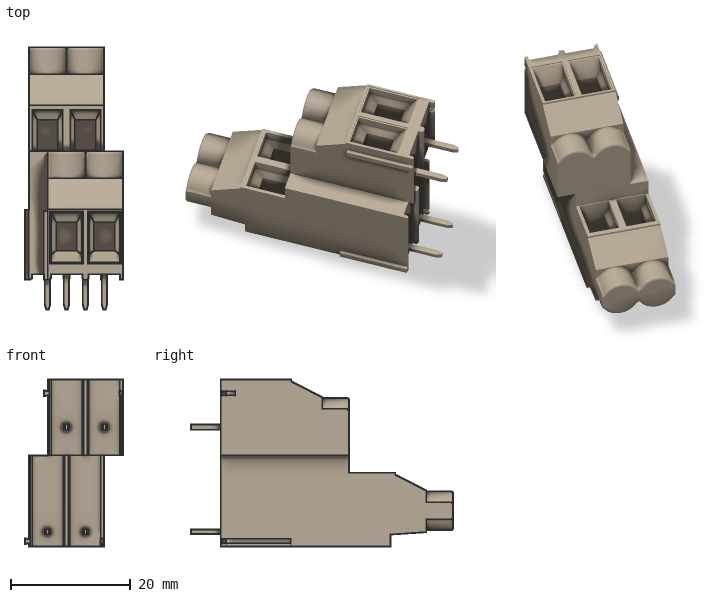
import cadquery as cq


pole_pitch = 6.35
pole_count = 2
housing_width = 12.6
first_pole_x = (housing_width - (pole_count - 1) * pole_pitch) / 2
pole_offsets = [first_pole_x + i * pole_pitch for i in range(pole_count)]

lower_x = 0.0
upper_x = pole_pitch / 2
split_z = 15.25
upper_top_z = 28.0
shoulder_top_z = 12.4

rib_depth = 0.9
front_y = rib_depth
upper_back_y = 21.5
housing_step = 17.4
lower_back_y = upper_back_y + housing_step
tower_length = 4.5
slope_run = 5.17
slope_rise = 2.65
slope_lip = 0.35
foot_back_y = 28.45
foot_height = 2.0
foot_slope_top_z = 2.4

tower_radius = 3.3
tower_rim_fillet = 0.45
tower_below_top = 6.4
valley_half_height = 1.43
valley_flank_width = 0.4
valley_flank_rise = 0.36

funnel_width = 5.16
funnel_rim_width = 5.58
funnel_rim_depth = 0.2
upper_funnel_margin = 0.57
lower_funnel_margin = 0.8
funnel_floor_width = 3.5
funnel_straight_depth = 1.95
funnel_side_drop = 0.95
funnel_back_run = 1.62
funnel_hole_depth = 4.0
upper_funnel_front_y = 2.9
upper_funnel_floor_y = 4.85
lower_funnel_gap = 0.13
lower_funnel_front_y = upper_back_y + lower_funnel_gap

end_rib_width = 0.54
middle_rib_width = 1.06
rib_chamfer = 0.26

overall_width = 16.43
rail_depth = overall_width - housing_width - upper_x
rail_tip_height = 1.04
rail_root_height = 0.72
upper_rail_length = 11.5
lower_rail_length = 11.75
upper_slot_length = 2.4
lower_slot_length = lower_rail_length
upper_rail_z = 25.65
lower_rail_z = 0.92

pin_width = 0.92
pin_tip_width = 0.45
pin_tip_length = 0.85
pin_reach = 5.0
upper_pin_z = 20.0
upper_pin_height = 0.92
lower_pin_z = 2.48
lower_pin_height = 0.82


def block(x_range, y_range, z_range):
    """Box between the given limits."""
    (x0, x1), (y0, y1), (z0, z1) = x_range, y_range, z_range
    return cq.Workplane("XY").box(x1 - x0, y1 - y0, z1 - z0, centered=False).translate((x0, y0, z0))


def side_plate(x_start, outline):
    """Extrude a (y, z) outline over the housing width."""
    return cq.Workplane("YZ", origin=(x_start, 0, 0)).polyline(outline).close().extrude(housing_width)


def slope_outline(back_y, top_z):
    """Points of the sloping rear shoulder, from the towers up to the top face."""
    slope_back_y = back_y - tower_length
    slope_front_y = slope_back_y - slope_run
    slope_top_z = top_z - slope_lip
    return [
        (slope_back_y, slope_top_z - slope_rise),
        (slope_front_y, slope_top_z),
        (slope_front_y, top_z),
    ]


def towers(x_start, back_y, top_z):
    """Row of round screw towers on a web with V grooves between them, rounded at the back rim."""
    axis_z = top_z - tower_below_top
    y_start = back_y - tower_length
    flank_half = first_pole_x - valley_flank_width
    crown = valley_half_height + valley_flank_rise
    row = block(
        (x_start, x_start + housing_width),
        (y_start, back_y),
        (axis_z - valley_half_height, axis_z + valley_half_height),
    )
    for offset in pole_offsets:
        plane = cq.Workplane("XZ", origin=(x_start + offset, back_y, axis_z))
        web = (
            plane.moveTo(-first_pole_x, -valley_half_height)
            .lineTo(-flank_half, -crown)
            .lineTo(flank_half, -crown)
            .lineTo(first_pole_x, -valley_half_height)
            .lineTo(first_pole_x, valley_half_height)
            .lineTo(flank_half, crown)
            .lineTo(-flank_half, crown)
            .lineTo(-first_pole_x, valley_half_height)
            .close()
            .extrude(tower_length)
        )
        barrel = plane.circle(tower_radius).extrude(tower_length)
        cell = block(
            (x_start + offset - first_pole_x, x_start + offset + first_pole_x),
            (y_start, back_y),
            (axis_z - tower_radius, axis_z + tower_radius),
        )
        row = row.union(web).union(barrel.intersect(cell))
    return row.faces(">Y").edges("not |Z").fillet(tower_rim_fillet)


def funnel(x_center, front_y_limit, back_y, top_z):
    """Straight mouth, sloping back and side faces, and the hole below them."""
    slope_top_z = top_z - funnel_straight_depth
    floor_z = slope_top_z - funnel_side_drop
    floor_back_y = back_y - funnel_back_run
    half_mouth = funnel_width / 2
    half_floor = funnel_floor_width / 2
    mouth = block(
        (x_center - half_mouth, x_center + half_mouth), (front_y_limit, back_y), (slope_top_z, top_z)
    )
    hole = block(
        (x_center - half_floor, x_center + half_floor),
        (front_y_limit, floor_back_y),
        (floor_z - funnel_hole_depth, slope_top_z),
    )
    sides = (
        cq.Workplane("XZ", origin=(x_center, back_y, 0))
        .polyline(
            [(-half_floor, floor_z), (half_floor, floor_z), (half_mouth, slope_top_z), (-half_mouth, slope_top_z)]
        )
        .close()
        .extrude(back_y - front_y_limit)
    )
    back = (
        cq.Workplane("YZ", origin=(x_center - half_mouth, 0, 0))
        .polyline(
            [
                (front_y_limit, floor_z),
                (floor_back_y, floor_z),
                (back_y, slope_top_z),
                (front_y_limit, slope_top_z),
            ]
        )
        .close()
        .extrude(funnel_width)
    )
    return mouth.union(hole).union(sides.intersect(back))


def front_ramp(x_center, top_z):
    """Region kept free of the upper funnel so that its front wall becomes a ramp."""
    floor_z = top_z - funnel_straight_depth - funnel_side_drop
    hole_bottom_z = floor_z - funnel_hole_depth
    return (
        cq.Workplane("YZ", origin=(x_center - funnel_width / 2, 0, 0))
        .polyline(
            [
                (upper_funnel_front_y, hole_bottom_z),
                (upper_funnel_floor_y, hole_bottom_z),
                (upper_funnel_floor_y, floor_z),
                (upper_funnel_front_y, top_z - funnel_rim_depth),
            ]
        )
        .close()
        .extrude(funnel_width)
    )


def funnel_rim(x_center, back_y, top_z):
    """Shallow step around the mouth of an upper funnel."""
    step = (funnel_rim_width - funnel_width) / 2
    half_width = funnel_rim_width / 2
    return block(
        (x_center - half_width, x_center + half_width),
        (upper_funnel_front_y - step, back_y + step),
        (top_z - funnel_rim_depth, top_z),
    )


def rib(x_left, width, z_range, chamfer_left, chamfer_right):
    """Upright front rib with its tip corners chamfered where asked."""
    x_right = x_left + width
    outline = [(x_left, front_y)]
    if chamfer_left:
        outline += [(x_left, rib_chamfer), (x_left + rib_chamfer, 0)]
    else:
        outline += [(x_left, 0)]
    if chamfer_right:
        outline += [(x_right - rib_chamfer, 0), (x_right, rib_chamfer)]
    else:
        outline += [(x_right, 0)]
    outline += [(x_right, front_y)]
    z0, z1 = z_range
    return cq.Workplane("XY", origin=(0, 0, z0)).polyline(outline).close().extrude(z1 - z0)


def add_ribs(body, x_start, z_range, rail_z):
    """Ribs at both walls and between the poles; the right one is chamfered only below the slot."""
    body = body.union(rib(x_start, end_rib_width, z_range, False, True))
    middle_left = x_start + (housing_width - middle_rib_width) / 2
    body = body.union(rib(middle_left, middle_rib_width, z_range, True, True))
    right_left = x_start + housing_width - end_rib_width
    z0, z1 = z_range
    body = body.union(rib(right_left, end_rib_width, (z0, rail_z), True, False))
    return body.union(rib(right_left, end_rib_width, (rail_z, z1), False, False))


def dovetail(x_wall, z_center, length):
    """Dovetail bar standing out of a wall toward -X, wider at its tip."""
    x_tip = x_wall - rail_depth
    half_root = rail_root_height / 2
    half_tip = rail_tip_height / 2
    return (
        cq.Workplane("XZ")
        .polyline(
            [
                (x_wall, z_center - half_root),
                (x_tip, z_center - half_tip),
                (x_tip, z_center + half_tip),
                (x_wall, z_center + half_root),
            ]
        )
        .close()
        .extrude(-length)
    )


def pin(x_center, z_center, height):
    """Flat solder pin with a tapered tip, reaching back to the front face."""
    tip_y = -pin_reach
    taper_y = tip_y + pin_tip_length
    half_width = pin_width / 2
    half_tip = pin_tip_width / 2
    return (
        cq.Workplane("XY", origin=(x_center, 0, z_center - height / 2))
        .polyline(
            [
                (-half_width, front_y),
                (-half_width, taper_y),
                (-half_tip, tip_y),
                (half_tip, tip_y),
                (half_width, taper_y),
                (half_width, front_y),
            ]
        )
        .close()
        .extrude(height)
    )


def finish_front(body, x_start, z_range, rail_z, rail_length, slot_length, pin_z, pin_height):
    """Add the ribs, the rail and its matching slot, and the solder pins."""
    body = add_ribs(body, x_start, z_range, rail_z)
    body = body.union(dovetail(x_start, rail_z, rail_length))
    body = body.cut(dovetail(x_start + housing_width, rail_z, slot_length))
    for offset in pole_offsets:
        body = body.union(pin(x_start + offset, pin_z, pin_height))
    return body


def make_lower_housing():
    tower_y = lower_back_y - tower_length
    slope = slope_outline(lower_back_y, shoulder_top_z)
    outline = [
        (front_y, 0),
        (foot_back_y, 0),
        (foot_back_y, foot_height),
        (tower_y, foot_slope_top_z),
        *slope,
        (upper_back_y, shoulder_top_z),
        (upper_back_y, split_z),
        (front_y, split_z),
    ]
    body = side_plate(lower_x, outline)
    body = body.union(towers(lower_x, lower_back_y, shoulder_top_z))
    funnel_back_y = slope[-1][0] - lower_funnel_margin
    for offset in pole_offsets:
        body = body.cut(funnel(lower_x + offset, lower_funnel_front_y, funnel_back_y, shoulder_top_z))
    return finish_front(
        body,
        lower_x,
        (0, split_z),
        lower_rail_z,
        lower_rail_length,
        lower_slot_length,
        lower_pin_z,
        lower_pin_height,
    )


def make_upper_housing():
    tower_y = upper_back_y - tower_length
    tower_axis_z = upper_top_z - tower_below_top
    slope = slope_outline(upper_back_y, upper_top_z)
    outline = [
        (front_y, split_z),
        (upper_back_y, split_z),
        (upper_back_y, tower_axis_z),
        (tower_y, tower_axis_z),
        *slope,
        (front_y, upper_top_z),
    ]
    body = side_plate(upper_x, outline)
    body = body.union(towers(upper_x, upper_back_y, upper_top_z))
    funnel_back_y = slope[-1][0] - upper_funnel_margin
    for offset in pole_offsets:
        x_center = upper_x + offset
        cavity = funnel(x_center, upper_funnel_front_y, funnel_back_y, upper_top_z)
        body = body.cut(cavity.cut(front_ramp(x_center, upper_top_z)))
        body = body.cut(funnel_rim(x_center, funnel_back_y, upper_top_z))
    return finish_front(
        body,
        upper_x,
        (split_z, upper_top_z),
        upper_rail_z,
        upper_rail_length,
        upper_slot_length,
        upper_pin_z,
        upper_pin_height,
    )


lower_housing = make_lower_housing()
upper_housing = make_upper_housing()

result = cq.Compound.makeCompound([lower_housing.val(), upper_housing.val()])